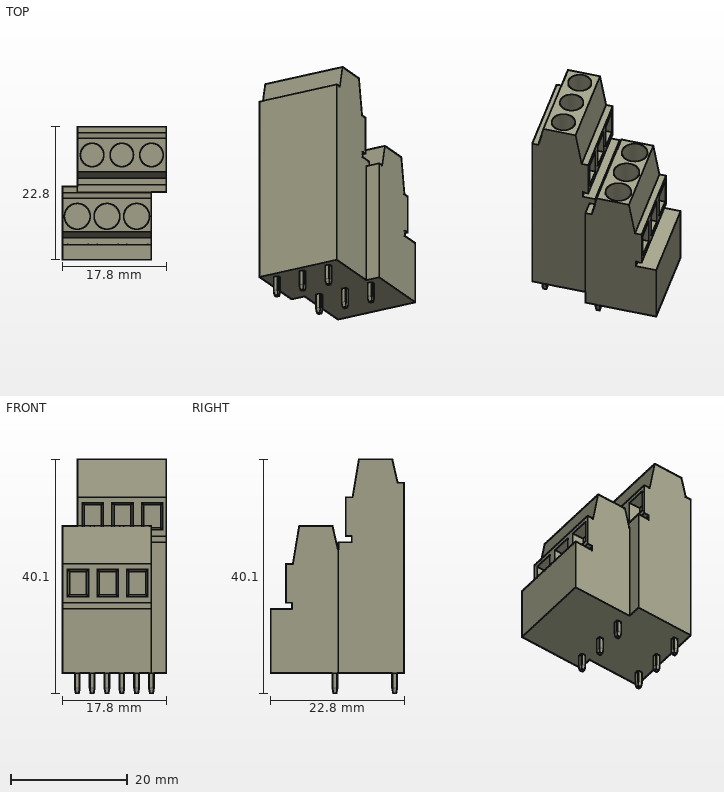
import cadquery as cq

POLE_COUNT = 3
ROW_WIDTH = 15.25
POLE_PITCH = ROW_WIDTH / POLE_COUNT
ROW_SHIFT_X = POLE_PITCH / 2
ROW_SHIFT_Y = -10.23

BACK_LEDGE = 1.1
TOP_BACK = 2.0
TOP_FRONT = 7.75
SHOULDER_BACK = 8.82
LIP_FRONT = 10.0
GROOVE_BACK = 9.0
REAR_BASE_FRONT = 11.23
OVERALL_DEPTH = 22.8
FRONT_BASE_FRONT = OVERALL_DEPTH + ROW_SHIFT_Y

REAR_HEIGHT = 36.65
FRONT_HEIGHT = 25.22
LEDGE_DROP = 4.0
SHOULDER_DROP = 6.5
LIP_DROP = 13.2
GROOVE_DROP = 14.2

REAR_HOLE_DIAMETER = 4.0
FRONT_HOLE_DIAMETER = 4.4
REAR_HOLE_SETBACK = 4.85
FRONT_HOLE_SETBACK = 5.15
HOLE_DEPTH = 5.0

ENTRY_WIDTH = 3.6
ENTRY_HEIGHT = 4.65
ENTRY_TAPER = 0.35
ENTRY_DEPTH = 1.92
ENTRY_OFFSET_X = 0.12
ENTRY_CENTRE_DROP = 9.8

OVERALL_HEIGHT = 40.1
PIN_LENGTH = OVERALL_HEIGHT - REAR_HEIGHT
PIN_SIZE = 0.92
PIN_CORNER_CHAMFER = 0.12
PIN_TIP_LENGTH = 0.95
PIN_TIP_SIZE = 0.55
PIN_SETBACK = 1.6


def pole_centres(row_left):
    """X positions of the poles of a row that starts at row_left."""
    return [row_left + (pole + 0.5) * POLE_PITCH for pole in range(POLE_COUNT)]


def row_block(row_left, back_y, height, base_front):
    """One stepped block: a profile in the YZ plane extruded along X."""
    profile = [
        (0, 0),
        (0, height - LEDGE_DROP),
        (BACK_LEDGE, height - LEDGE_DROP),
        (TOP_BACK, height),
        (TOP_FRONT, height),
        (SHOULDER_BACK, height - SHOULDER_DROP),
        (LIP_FRONT, height - SHOULDER_DROP),
        (LIP_FRONT, height - LIP_DROP),
        (GROOVE_BACK, height - LIP_DROP),
        (GROOVE_BACK, height - GROOVE_DROP),
        (base_front, height - GROOVE_DROP),
        (base_front, 0),
    ]
    points = [(back_y - forward, z) for forward, z in profile]
    return cq.Workplane("YZ", origin=(row_left, 0, 0)).polyline(points).close().extrude(ROW_WIDTH)


def screw_hole(x, y, top_z, diameter):
    """Blind vertical hole cutter going down from a top face."""
    return cq.Workplane("XY", origin=(x, y, top_z)).circle(diameter / 2).extrude(-HOLE_DEPTH)


def wire_entry(x, front_y, z):
    """Rectangular cutter that narrows towards the back."""
    return (
        cq.Workplane("XZ", origin=(x, front_y, z))
        .rect(ENTRY_WIDTH, ENTRY_HEIGHT)
        .workplane(offset=-ENTRY_DEPTH)
        .rect(ENTRY_WIDTH - 2 * ENTRY_TAPER, ENTRY_HEIGHT - 2 * ENTRY_TAPER)
        .loft(ruled=True)
    )


def terminal_row(row_left, back_y, height, base_front, hole_diameter, hole_setback):
    """A stepped block with one screw hole and one wire entry per pole."""
    row = row_block(row_left, back_y, height, base_front)
    for x in pole_centres(row_left):
        row = row.cut(screw_hole(x, back_y - hole_setback, height, hole_diameter))
        row = row.cut(wire_entry(x + ENTRY_OFFSET_X, back_y - LIP_FRONT, height - ENTRY_CENTRE_DROP))
    return row


def solder_pin(x, y):
    """Square pin with chamfered corners, cut to a four-sided taper at its lower end."""
    bar = (
        cq.Workplane("XY", origin=(x, y, 0))
        .rect(PIN_SIZE, PIN_SIZE)
        .extrude(-PIN_LENGTH)
        .edges("|Z")
        .chamfer(PIN_CORNER_CHAMFER)
    )
    shank_length = PIN_LENGTH - PIN_TIP_LENGTH
    envelope = (
        cq.Workplane("XY", origin=(x, y, 0))
        .rect(PIN_SIZE, PIN_SIZE)
        .extrude(-shank_length)
        .faces("<Z")
        .workplane()
        .rect(PIN_SIZE, PIN_SIZE)
        .workplane(offset=PIN_TIP_LENGTH)
        .rect(PIN_TIP_SIZE, PIN_TIP_SIZE)
        .loft(ruled=True)
    )
    return bar.intersect(envelope)


rear_row = terminal_row(
    ROW_SHIFT_X, 0, REAR_HEIGHT, REAR_BASE_FRONT, REAR_HOLE_DIAMETER, REAR_HOLE_SETBACK
)
front_row = terminal_row(
    0, ROW_SHIFT_Y, FRONT_HEIGHT, FRONT_BASE_FRONT, FRONT_HOLE_DIAMETER, FRONT_HOLE_SETBACK
)
housing = rear_row.union(front_row)

pins = []
for row_left, back_y in [(ROW_SHIFT_X, 0), (0, ROW_SHIFT_Y)]:
    for x in pole_centres(row_left):
        pins.append(solder_pin(x, back_y - PIN_SETBACK))

result = cq.Compound.makeCompound([housing.val(), *[pin.val() for pin in pins]])